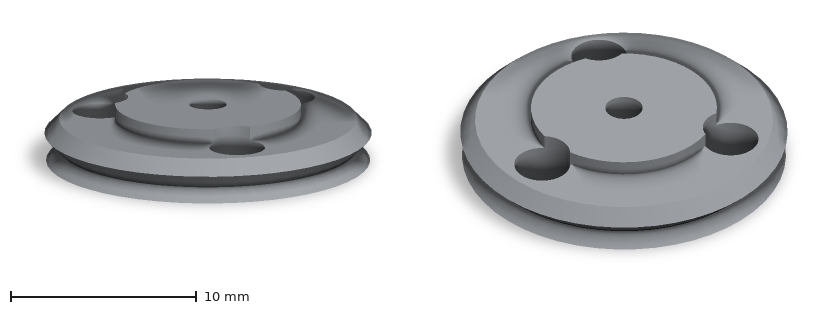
import cadquery as cq

rim_radius = 8.8
bevel = 0.8
groove_height = 0.7
rim_height = 1.51
boss_height = 0.8
boss_radius = 5.0
center_hole_diameter = 2.0
outer_hole_diameter = 3.0
outer_hole_count = 3
outer_hole_circle_radius = 6.0
first_hole_angle = 90.0

groove_radius = rim_radius - bevel
base_radius = groove_radius + groove_height
disc_height = rim_height + bevel
total_height = disc_height + boss_height


def make_body():
    """Revolve the grooved disc and its raised boss around Z."""
    half_section = [
        (0, 0),
        (base_radius, 0),
        (groove_radius, groove_height),
        (rim_radius, rim_height),
        (rim_radius - bevel, disc_height),
        (boss_radius, disc_height),
        (boss_radius, total_height),
        (0, total_height),
    ]
    return cq.Workplane("XZ").polyline(half_section).close().revolve(360, (0, 0), (0, 1))


def make_holes():
    """Through holes: one in the center and a ring that cuts into the boss edge."""
    center_hole = cq.Workplane("XY").circle(center_hole_diameter / 2).extrude(total_height)
    outer_holes = (
        cq.Workplane("XY")
        .polarArray(outer_hole_circle_radius, first_hole_angle, 360, outer_hole_count)
        .circle(outer_hole_diameter / 2)
        .extrude(total_height)
    )
    return center_hole.union(outer_holes)


result = make_body().cut(make_holes())